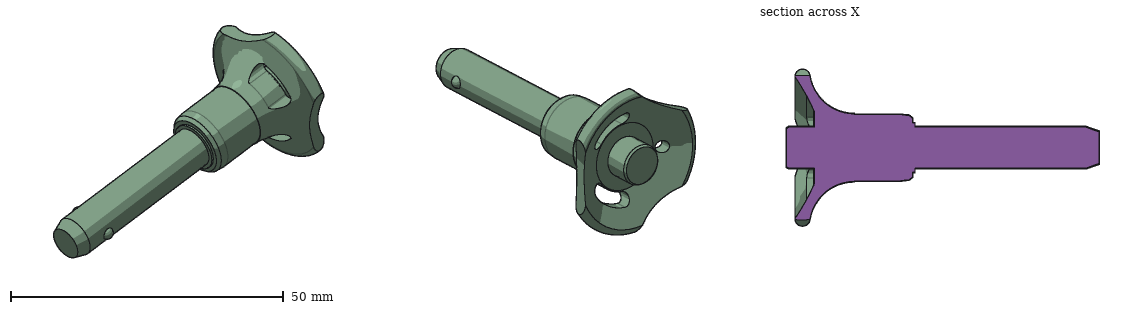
import cadquery as cq
import math

total_length = 57.4
button_chamfer_width = 0.3
button_chamfer_length = 0.45

pin_diameter = 7.85
pin_radius = pin_diameter / 2
tip_radius = 3.1
tip_length = 2.4
ball_radius = 1.2
ball_centre_radius = 3.55
ball_from_tip = 7.2

body_radius = 6.2
body_start = 12.5
taper_start = 21.0
taper_end = 22.55
taper_end_radius = 6.0
body_end = 23.25
body_end_radius = 5.45
collar_radius = 4.65
collar_end = 23.65

handle_radius = 14.4
rim_thickness = 2.8
rim_radius = rim_thickness / 2
rim_centre_radius = handle_radius - rim_radius
rear_face_depth = 1.6
rim_centre_depth = rear_face_depth + rim_radius
flare_neck_radius = 6.3
flare_end_radius = 13.3
dish_floor_radius = 6.6
dish_floor_depth = 5.15
dish_mid_radius = 11.4
dish_mid_depth = 2.65

scallop_count = 3
scallop_waist_radius = 11.4
scallop_chord = 14.85
scallop_half_chord = scallop_chord / 2

opening_circle_radius = 8.15
opening_radius = 1.3
slot_half_angle = 23.8
slot_centre_angles = (60.0, -60.0)
hole_angle = 180.0
hole_radius = 1.2


def polar(radius, degrees):
    angle = math.radians(degrees)
    return radius * math.cos(angle), radius * math.sin(angle)


def revolve_about_y(profile):
    return profile.close().revolve(360, (0, 0, 0), (0, 1, 0))


def make_button_and_pin():
    tip_start = total_length - tip_length
    profile = (
        cq.Workplane("XY")
        .lineTo(pin_radius - button_chamfer_width, 0)
        .lineTo(pin_radius, -button_chamfer_length)
        .lineTo(pin_radius, -tip_start)
        .lineTo(tip_radius, -total_length)
        .lineTo(0, -total_length)
    )
    return revolve_about_y(profile)


def make_body():
    profile = (
        cq.Workplane("XY")
        .moveTo(0, -body_start)
        .lineTo(body_radius, -body_start)
        .lineTo(body_radius, -taper_start)
        .lineTo(taper_end_radius, -taper_end)
        .lineTo(body_end_radius, -body_end)
        .lineTo(collar_radius, -body_end)
        .lineTo(collar_radius, -collar_end)
        .lineTo(0, -collar_end)
    )
    return revolve_about_y(profile)


def make_flared_disc():
    rim_end_offset = flare_end_radius - rim_centre_radius
    flare_end_depth = rim_centre_depth + math.sqrt(rim_radius**2 - rim_end_offset**2)
    flare_width = flare_end_radius - flare_neck_radius
    flare_length = body_start - flare_end_depth
    flare_arc_radius = (flare_width**2 + flare_length**2) / (2 * flare_width)
    flare_centre_radius = flare_neck_radius + flare_arc_radius
    flare_mid_x, flare_mid_y = polar(flare_arc_radius, 135)
    profile = (
        cq.Workplane("XY")
        .moveTo(0, -body_start)
        .lineTo(flare_neck_radius, -body_start)
        .threePointArc(
            (flare_centre_radius + flare_mid_x, -body_start + flare_mid_y),
            (flare_end_radius, -flare_end_depth),
        )
        .threePointArc(
            (handle_radius, -rim_centre_depth),
            (rim_centre_radius, -rear_face_depth),
        )
        .threePointArc(
            (dish_mid_radius, -dish_mid_depth),
            (dish_floor_radius, -dish_floor_depth),
        )
        .lineTo(0, -dish_floor_depth)
    )
    return revolve_about_y(profile)


def make_scallop_cutters():
    corner_radius = math.sqrt(handle_radius**2 - scallop_half_chord**2)
    sagitta = corner_radius - scallop_waist_radius
    scallop_radius = (scallop_half_chord**2 + sagitta**2) / (2 * sagitta)
    centre_distance = scallop_waist_radius + scallop_radius
    centres = [polar(centre_distance, i * 360 / scallop_count) for i in range(scallop_count)]
    cutters = cq.Workplane("XZ").pushPoints(centres).circle(scallop_radius)
    return cutters.extrude(body_start, combine=False)


def make_slot_cutter(centre_angle):
    inner = opening_circle_radius - opening_radius
    outer = opening_circle_radius + opening_radius
    start = centre_angle - slot_half_angle
    end = centre_angle + slot_half_angle
    sweep = (
        cq.Workplane("XZ")
        .moveTo(*polar(inner, start))
        .threePointArc(polar(inner, centre_angle), polar(inner, end))
        .lineTo(*polar(outer, end))
        .threePointArc(polar(outer, centre_angle), polar(outer, start))
        .close()
        .extrude(body_start)
    )
    end_centres = [polar(opening_circle_radius, angle) for angle in (start, end)]
    ends = cq.Workplane("XZ").pushPoints(end_centres).circle(opening_radius).extrude(body_start)
    return sweep.union(ends)


def make_handle():
    handle = make_flared_disc()
    for cutter in make_scallop_cutters().vals():
        handle = handle.cut(cq.Workplane(cutter))
    for angle in slot_centre_angles:
        handle = handle.cut(make_slot_cutter(angle))
    hole_centre = polar(opening_circle_radius, hole_angle)
    hole = cq.Workplane("XZ").center(*hole_centre).circle(hole_radius).extrude(body_start)
    return handle.cut(hole)


def make_locking_balls():
    ball_y = ball_from_tip - total_length
    centres = [(side * ball_centre_radius, ball_y) for side in (-1, 1)]
    return cq.Workplane("XY").pushPoints(centres).sphere(ball_radius)


result = (
    make_button_and_pin()
    .union(make_body())
    .union(make_handle())
    .union(make_locking_balls())
)